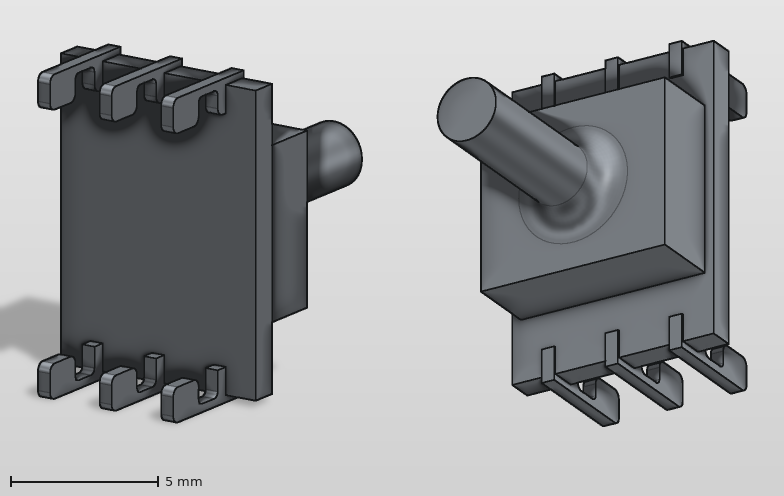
import cadquery as cq


plate_width = 8.0
plate_thickness = 1.0
plate_height = 11.0

block_width = 7.3
block_depth = 2.64
block_height = 6.28

tube_diameter = 2.32
flare_radius = 1.0

lead_front_reach = 3.2
lead_back_reach = 0.08
lead_width = 0.5
lead_height = 1.26
lead_pitch = 2.53
lead_span = 11.5
strip_thickness = 0.3
heel_reach = 0.5
pad_length = 1.54
lead_corner_radius = 0.29
notch_corner_radius = 0.21

overall_length = 13.83
block_end = plate_thickness + block_depth
tube_length = overall_length - lead_front_reach - block_end


def make_plate():
    return cq.Workplane("XY").box(
        plate_width, plate_thickness, plate_height, centered=(True, False, True)
    )


def make_block():
    block = cq.Workplane("XY").box(
        block_width, block_depth, block_height, centered=(True, False, True)
    )
    return block.translate((0, plate_thickness, 0))


def make_tube():
    """Solid tube whose root flares out tangent to the block face."""
    tube_radius = tube_diameter / 2
    tube_end = block_end + tube_length
    profile = (
        cq.Workplane("XY")
        .moveTo(0, plate_thickness)
        .lineTo(tube_radius + flare_radius, plate_thickness)
        .lineTo(tube_radius + flare_radius, block_end)
        .radiusArc((tube_radius, block_end + flare_radius), flare_radius)
        .lineTo(tube_radius, tube_end)
        .lineTo(0, tube_end)
        .close()
    )
    return profile.revolve(360, (0, 0, 0), (0, 1, 0))


def round_edges(lead, corners, radius):
    """Fillet the lead edges that run along X through the given (Y, Z) corners."""
    for y, z in corners:
        nearest = cq.selectors.NearestToPointSelector((0, y, z))
        lead = lead.edges("|X").edges(nearest).fillet(radius)
    return lead


def make_lead(round_heel):
    """Lead at X = 0 along the top edge: a strip with a heel and an end pad hanging below it."""
    top = lead_span / 2
    bottom = top - lead_height
    notch_top = top - strip_thickness
    back = plate_thickness + lead_back_reach
    tip = -lead_front_reach
    heel = -heel_reach
    pad = tip + pad_length
    outline = [
        (back, top),
        (tip, top),
        (tip, bottom),
        (pad, bottom),
        (pad, notch_top),
        (heel, notch_top),
        (heel, bottom),
        (back, bottom),
    ]
    lead = cq.Workplane("YZ").polyline(outline).close().extrude(lead_width / 2, both=True)

    outer_corners = [(tip, top), (tip, bottom), (pad, bottom)]
    if round_heel:
        outer_corners.append((heel, bottom))
    notch_corners = [(pad, notch_top), (heel, notch_top)]
    lead = round_edges(lead, outer_corners, lead_corner_radius)
    return round_edges(lead, notch_corners, notch_corner_radius)


result = make_plate().union(make_block()).union(make_tube())

upper_lead = make_lead(round_heel=True)
lower_lead = make_lead(round_heel=False).mirror("XY")
for column in (-1, 0, 1):
    for lead in (upper_lead, lower_lead):
        result = result.union(lead.translate((column * lead_pitch, 0, 0)))